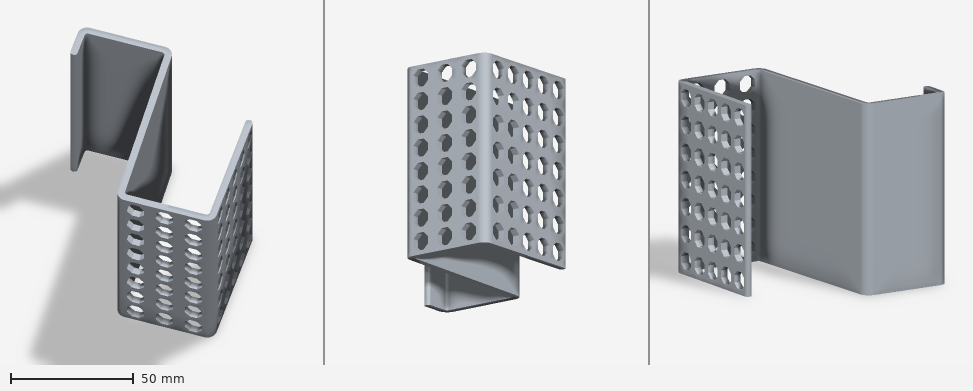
import cadquery as cq
import math

width = 81.65
depth = 79.0
height = 80.0
sheet = 3.0

lip_length = 15.0
leg_length = 54.05

back_flange_width = 39.9
web_angle = math.radians(2.0)

bend_inner_radius = 1.3
bend_outer_radius = 4.0
tip_radius = 1.4

hole_sides = 8
hole_corner_diameter = 8.0
front_rows = 8
front_columns = 3
front_row_margin = 5.55
front_column_pitch = 12.3
front_last_column_x = 72.9
leg_rows = 7
leg_columns = 5
leg_row_margin = 5.9
leg_column_pitch = 10.0
leg_last_column_y = 48.5


def web_right_x(y):
    """X of the web's right face at a given Y."""
    return back_flange_width + (depth - y) * math.tan(web_angle)


def web_left_x(y):
    """X of the web's left face at a given Y."""
    return web_right_x(y) - sheet / math.cos(web_angle)


def make_bent_sheet():
    """Extrude the sharp-cornered profile, then round its bends and free ends."""
    back_inner_y = depth - sheet
    lip_end_y = depth - lip_length
    leg_inner_x = width - sheet

    outer_bends = [
        (0, depth),
        (back_flange_width, depth),
        (width, 0),
        (web_left_x(0), 0),
    ]
    inner_bends = [
        (sheet, back_inner_y),
        (web_left_x(back_inner_y), back_inner_y),
        (leg_inner_x, sheet),
        (web_right_x(sheet), sheet),
    ]
    lip_tip = [(sheet, lip_end_y), (0, lip_end_y)]
    leg_tip = [(width, leg_length), (leg_inner_x, leg_length)]

    profile = [
        outer_bends[0],
        outer_bends[1],
        inner_bends[3],
        inner_bends[2],
        leg_tip[1],
        leg_tip[0],
        outer_bends[2],
        outer_bends[3],
        inner_bends[1],
        inner_bends[0],
        lip_tip[0],
        lip_tip[1],
    ]
    body = cq.Workplane("XY").polyline(profile).close().extrude(height)

    roundings = [
        (inner_bends, bend_inner_radius),
        (outer_bends, bend_outer_radius),
        (lip_tip + leg_tip, tip_radius),
    ]
    for corners, radius in roundings:
        edges = body.newObject([])
        for x, y in corners:
            nearest = cq.NearestToPointSelector((x, y, height / 2))
            edges = edges.add(body.edges("|Z").edges(nearest))
        body = edges.fillet(radius)
    return body


def hole_centers(last_position, column_pitch, columns, row_margin, rows):
    """Grid of hole centers, with the rows spread evenly over the height."""
    row_pitch = (height - 2 * row_margin) / (rows - 1)
    centers = []
    for column in range(columns):
        for row in range(rows):
            centers.append((last_position - column * column_pitch, row_margin + row * row_pitch))
    return centers


def octagon_points(center):
    """Corners of an octagon whose flats are parallel to the plane's axes."""
    radius = hole_corner_diameter / 2
    points = []
    for corner in range(hole_sides):
        angle = 2 * math.pi * (corner + 0.5) / hole_sides
        points.append((center[0] + radius * math.cos(angle), center[1] + radius * math.sin(angle)))
    return points


def perforate(body, plane, centers, cut_depth):
    """Cut an octagonal hole at each center."""
    cutters = cq.Workplane(plane)
    for center in centers:
        cutters = cutters.polyline(octagon_points(center)).close()
    return body.cut(cutters.extrude(cut_depth))


front_centers = hole_centers(
    front_last_column_x, front_column_pitch, front_columns, front_row_margin, front_rows
)
leg_centers = hole_centers(
    leg_last_column_y, leg_column_pitch, leg_columns, leg_row_margin, leg_rows
)

result = make_bent_sheet()

result = perforate(result, cq.Plane.XZ(), front_centers, -sheet)

leg_face = cq.Plane.YZ(origin=(width - sheet, 0, 0))
result = perforate(result, leg_face, leg_centers, sheet)